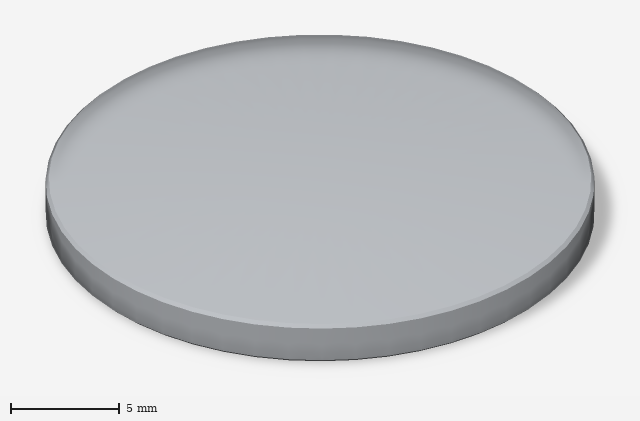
import cadquery as cq

diameter = 25.4
center_thickness = 2.6
dome_rise = 0.55
bevel = 0.15

radius = diameter / 2
face_radius = radius - bevel
rim_height = center_thickness - dome_rise
sphere_radius = (face_radius**2 + dome_rise**2) / (2 * dome_rise)

arc_mid_x = face_radius / 2
sphere_center_z = center_thickness - sphere_radius
arc_mid_z = sphere_center_z + (sphere_radius**2 - arc_mid_x**2) ** 0.5

half_section = (
    cq.Workplane("XZ")
    .lineTo(face_radius, 0)
    .lineTo(radius, bevel)
    .lineTo(radius, rim_height - bevel)
    .lineTo(face_radius, rim_height)
    .threePointArc((arc_mid_x, arc_mid_z), (0, center_thickness))
    .close()
)

result = half_section.revolve(360, (0, 0, 0), (0, 1, 0))